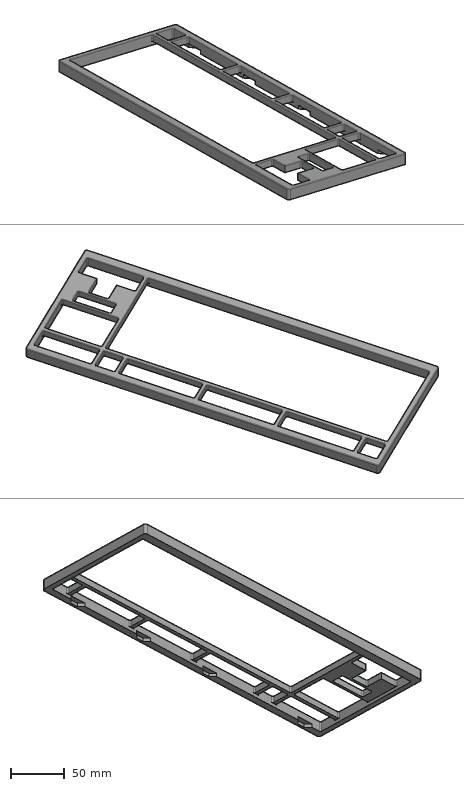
import cadquery as cq

length = 359.61
width = 136.51
height = 11.2
corner_radius = 2.5
outer_edge_radius = 0.75

key_pitch = 19.05
grid_columns = 18.25
grid_rows = 6.25
grid_shift_y = 0.75
grid_left = -grid_columns * key_pitch / 2
grid_bottom = -grid_rows * key_pitch / 2 + grid_shift_y

clearance = 0.95
opening_radius = 1.5
opening_edge_radius = 0.5

function_row = 5.25
nav_column = 15.25
nav_columns = 3
key_blocks = [
    (0, function_row, 1, 1),
    (1.25, function_row, 4, 1),
    (5.5, function_row, 4, 1),
    (9.75, function_row, 4, 1),
    (14, function_row, 1, 1),
    (nav_column, function_row, nav_columns, 1),
    (0, 0, 15, 5),
    (nav_column, 3, nav_columns, 2),
]

window_length = 39.0
window_width = 13.0
window_x = grid_left + (nav_column + nav_columns / 2) * key_pitch
window_y = -11.2

rib_underside = 3.9

recess_centers = [-140.9, -55.6, 30.4, 154.0]
recess_mouth = 18.0
recess_depth = 5.0
recess_height = 3.7


def block_box(column, row, columns, rows, box_height=height):
    """Box with square corners, standing on the bottom plane around a block of keys."""
    x = grid_left + (column + columns / 2) * key_pitch
    y = grid_bottom + (row + rows / 2) * key_pitch
    size_x = columns * key_pitch + clearance
    size_y = rows * key_pitch + clearance
    return cq.Workplane("XY").center(x, y).rect(size_x, size_y).extrude(box_height)


def round_uprights(box):
    """Round the upright corners of a cutter."""
    return box.edges("|Z").fillet(opening_radius)


def arrow_cutter():
    """Inverted T around the arrow keys; its two inward corners stay sharp."""
    bottom_row = round_uprights(block_box(nav_column, 0, nav_columns, 1))
    up_key = block_box(nav_column + 1, 0, 1, 2).edges("|Z and >Y").fillet(opening_radius)
    return bottom_row.union(up_key)


def window_cutter():
    """Through cutter for the window below the navigation keys."""
    box = cq.Workplane("XY").center(window_x, window_y).rect(window_length, window_width).extrude(height)
    return round_uprights(box)


def recess_cutter(x):
    """Trapezoidal prism cut into the rear wall from below, open towards the key openings."""
    mouth_y = grid_bottom + grid_rows * key_pitch + clearance / 2
    mouth_half = recess_mouth / 2
    back_half = mouth_half - recess_depth
    outline = [
        (x - mouth_half, mouth_y),
        (x + mouth_half, mouth_y),
        (x + back_half, mouth_y + recess_depth),
        (x - back_half, mouth_y + recess_depth),
    ]
    return cq.Workplane("XY").polyline(outline).close().extrude(recess_height)


def round_top_wires(body, wires, radius):
    """Fillet every edge of the given top-face outlines."""
    edges = [edge for wire in wires for edge in wire.Edges()]
    return body.newObject([body.val().fillet(radius, edges)])


frame = cq.Workplane("XY").rect(length, width).extrude(height)
frame = frame.edges("|Z").fillet(corner_radius)

for block in key_blocks:
    frame = frame.cut(round_uprights(block_box(*block)))
frame = frame.cut(arrow_cutter())
frame = frame.cut(window_cutter())
frame = round_top_wires(frame, frame.faces(">Z").val().innerWires(), opening_edge_radius)
frame = round_top_wires(frame, [frame.faces(">Z").val().outerWire()], outer_edge_radius)

frame = frame.cut(round_uprights(block_box(0, 0, grid_columns, grid_rows, rib_underside)))
for center in recess_centers:
    frame = frame.cut(recess_cutter(center))

result = frame